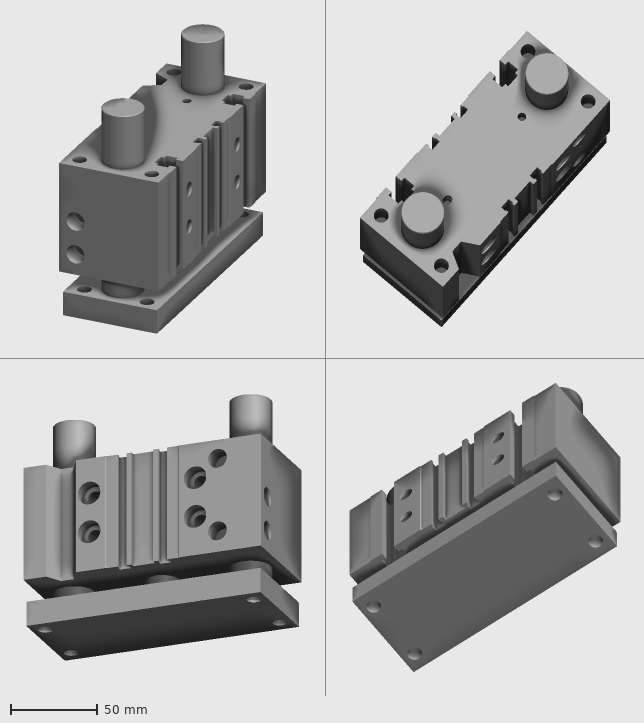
import cadquery as cq


plate_width, plate_length, plate_thickness = 60.0, 146.0, 15.0
housing_width, housing_length = 64.0, 148.0
housing_bottom, housing_top = 28.0, 97.5
total_height = 131.5
half_width = housing_width / 2
housing_height = housing_top - housing_bottom

guide_rod_diameter = 25.0
guide_rod_offset = 55.0
guide_rod_chamfer = 0.5
piston_rod_diameter = 20.0

corner_hole_diameter = 8.6
corner_hole_y = 65.0
plate_hole_x = 20.0
housing_hole_x = 23.0
housing_hole_depth = 20.0

relief_depth = 0.5
middle_relief_half_length = 22.4
end_relief_start = 58.6

t_slot_offset = 46.0
t_slot_neck_width, t_slot_head_width = 8.6, 14.0
t_slot_head_outer_x, t_slot_head_inner_x = 27.7, 20.2
t_slot_floor_x = 18.0

groove_y = 50.5
groove_mouth_width, groove_floor_width = 18.8, 7.8
groove_depth = 9.8

sensor_slot_offset = 12.6
sensor_mouth_width, sensor_pocket_width = 5.2, 6.6
sensor_pocket_outer_x, sensor_pocket_inner_x = 29.8, 26.4
recess_width = 13.5
recess_floor_x = 28.7

dowel_diameter = 5.0
dowel_offset = 33.0
dowel_slot_length = 6.0
dowel_depth = 10.0
dowel_slot_depth = 5.0

cross_hole_diameter, counterbore_diameter = 8.6, 14.0
counterbore_depth = 9.0
cross_hole_offset = 33.0
cross_hole_heights = (52.0, 76.0)

port_diameter = 11.6
port_depth = 12.0
side_port_y = -47.0
side_port_heights = (41.0, 86.0)
end_port_x = -21.5
end_port_heights = (41.0, 62.0)


def upright_box(x_start, x_end, y_centre, y_width):
    """Box through the full housing height, between two X positions."""
    return (
        cq.Workplane("XY", origin=((x_start + x_end) / 2, y_centre, housing_bottom))
        .rect(abs(x_end - x_start), y_width)
        .extrude(housing_height)
    )


def upright_trapezoid(mouth_x, floor_x, y_centre, mouth_width, floor_width):
    """Tapered groove through the full housing height, from its mouth to its floor."""
    return (
        cq.Workplane("XY", origin=(0, y_centre, housing_bottom))
        .polyline([
            (mouth_x, mouth_width / 2),
            (floor_x, floor_width / 2),
            (floor_x, -floor_width / 2),
            (mouth_x, -mouth_width / 2),
        ])
        .close()
        .extrude(housing_height)
    )


def make_sliding_plate():
    """End plate carrying the two guide rods and the piston rod."""
    guide_rods = (
        cq.Workplane("XY", origin=(0, 0, plate_thickness))
        .pushPoints([(0, guide_rod_offset), (0, -guide_rod_offset)])
        .circle(guide_rod_diameter / 2)
        .extrude(total_height - plate_thickness)
        .faces(">Z")
        .chamfer(guide_rod_chamfer)
    )
    piston_rod = (
        cq.Workplane("XY", origin=(0, 0, plate_thickness))
        .circle(piston_rod_diameter / 2)
        .extrude(housing_bottom - plate_thickness)
    )
    plate = (
        cq.Workplane("XY")
        .rect(plate_width, plate_length)
        .extrude(plate_thickness)
        .faces(">Z")
        .workplane()
        .rect(2 * plate_hole_x, 2 * corner_hole_y, forConstruction=True)
        .vertices()
        .hole(corner_hole_diameter)
    )
    return plate.union(guide_rods).union(piston_rod)


def cut_side_profile(body):
    """Reliefs, sensor slots and centre recess, the same on both X sides."""
    for side in (-1, 1):
        face_x = side * half_width
        relief_x = side * (half_width - relief_depth)
        relief_mouth_width = 2 * (middle_relief_half_length + relief_depth)
        body = body.cut(
            upright_trapezoid(face_x, relief_x, 0, relief_mouth_width, 2 * middle_relief_half_length)
        )
        body = body.cut(upright_box(side * recess_floor_x, face_x, 0, recess_width))
        for slot_y in (-sensor_slot_offset, sensor_slot_offset):
            pocket_outer = side * sensor_pocket_outer_x
            pocket_inner = side * sensor_pocket_inner_x
            body = body.cut(upright_box(pocket_outer, face_x, slot_y, sensor_mouth_width))
            body = body.cut(upright_box(pocket_inner, pocket_outer, slot_y, sensor_pocket_width))
    return body


def cut_t_slots(body):
    """T-slots and end reliefs of the +X side."""
    end_relief_length = housing_length / 2 - end_relief_start
    end_relief_y = end_relief_start + end_relief_length / 2
    for end in (-1, 1):
        slot_y = end * t_slot_offset
        body = body.cut(upright_box(t_slot_floor_x, half_width, slot_y, t_slot_neck_width))
        body = body.cut(
            upright_box(t_slot_head_inner_x, t_slot_head_outer_x, slot_y, t_slot_head_width)
        )
        body = body.cut(
            upright_box(half_width - relief_depth, half_width, end * end_relief_y, end_relief_length)
        )
    return body


def cut_dovetail_groove(body):
    """Tapered groove of the -X side."""
    floor_x = -half_width + groove_depth
    groove = upright_trapezoid(
        -half_width, floor_x, groove_y, groove_mouth_width, groove_floor_width
    )
    return body.cut(groove)


def cut_top_holes(body):
    """Corner holes, dowel holes (one widened to a slot at its mouth) and guide rod bores."""
    top = cq.Workplane("XY", origin=(0, 0, housing_top))
    corner_holes = (
        top.rect(2 * housing_hole_x, 2 * corner_hole_y, forConstruction=True)
        .vertices()
        .circle(corner_hole_diameter / 2)
        .extrude(-housing_hole_depth)
    )
    dowel_holes = (
        top.pushPoints([(0, dowel_offset), (0, -dowel_offset)])
        .circle(dowel_diameter / 2)
        .extrude(-dowel_depth)
    )
    dowel_slot = (
        top.center(0, dowel_offset)
        .slot2D(dowel_slot_length, dowel_diameter, 90)
        .extrude(-dowel_slot_depth)
    )
    bores = (
        top.pushPoints([(0, guide_rod_offset), (0, -guide_rod_offset)])
        .circle(guide_rod_diameter / 2)
        .extrude(-housing_height)
    )
    return body.cut(corner_holes).cut(dowel_holes).cut(dowel_slot).cut(bores)


def cut_cross_holes(body):
    """Mounting holes through the housing along X, counterbored on the -X side."""
    centres = [(y, z) for y in (-cross_hole_offset, cross_hole_offset) for z in cross_hole_heights]
    side = cq.Workplane("YZ", origin=(-half_width, 0, 0)).pushPoints(centres)
    holes = side.circle(cross_hole_diameter / 2).extrude(housing_width)
    counterbores = side.circle(counterbore_diameter / 2).extrude(counterbore_depth)
    return body.cut(holes).cut(counterbores)


def cut_ports(body):
    """Blind air ports in the -X side and in the -Y end."""
    side_ports = (
        cq.Workplane("YZ", origin=(-half_width, 0, 0))
        .pushPoints([(side_port_y, z) for z in side_port_heights])
        .circle(port_diameter / 2)
        .extrude(port_depth)
    )
    end_ports = (
        cq.Workplane("XZ", origin=(0, -housing_length / 2, 0))
        .pushPoints([(end_port_x, z) for z in end_port_heights])
        .circle(port_diameter / 2)
        .extrude(-port_depth)
    )
    return body.cut(side_ports).cut(end_ports)


def make_housing():
    """Cylinder housing that the guide rods slide through."""
    body = upright_box(-half_width, half_width, 0, housing_length)
    body = cut_side_profile(body)
    body = cut_t_slots(body)
    body = cut_dovetail_groove(body)
    body = cut_top_holes(body)
    body = cut_cross_holes(body)
    return cut_ports(body)


sliding_plate = make_sliding_plate()
housing = make_housing()

result = cq.Compound.makeCompound([housing.val(), sliding_plate.val()])